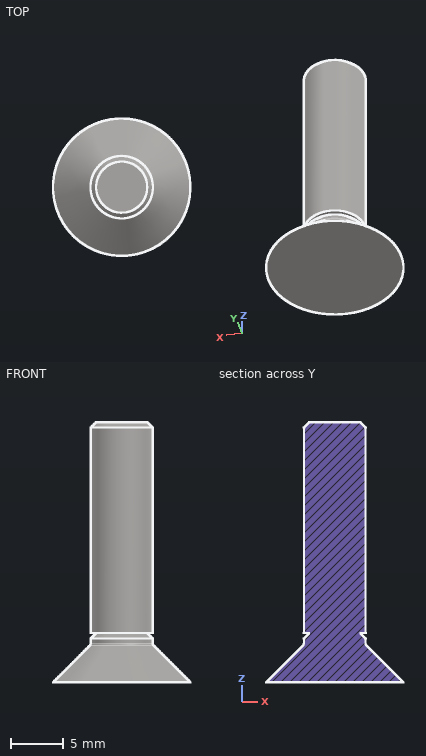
import cadquery as cq
import math

total_length = 25.0
thread_radius = 3.0
end_chamfer = 0.54
head_radius = 6.615
head_half_angle = math.radians(45)
neck_fillet_radius = 0.25
collar_top = 4.19

core_radius = thread_radius - end_chamfer
thread_start = collar_top + end_chamfer

cone_meets_collar = (head_radius - thread_radius) / math.tan(head_half_angle)
fillet_reach = neck_fillet_radius * math.tan(head_half_angle / 2)
fillet_top = cone_meets_collar + fillet_reach
fillet_bottom = cone_meets_collar - fillet_reach * math.cos(head_half_angle)
fillet_bottom_radius = thread_radius + fillet_reach * math.sin(head_half_angle)


def screw_half_profile():
    """Half section in the XZ plane, from the head face up to the thread tip."""
    return (
        cq.Workplane("XZ")
        .lineTo(head_radius, 0)
        .lineTo(fillet_bottom_radius, fillet_bottom)
        .radiusArc((thread_radius, fillet_top), neck_fillet_radius)
        .lineTo(thread_radius, collar_top)
        .lineTo(core_radius, thread_start)
        .lineTo(thread_radius, thread_start)
        .lineTo(thread_radius, total_length - end_chamfer)
        .lineTo(core_radius, total_length)
        .lineTo(0, total_length)
        .close()
    )


axis_start = (0, 0, 0)
axis_end = (0, 1, 0)
result = screw_half_profile().revolve(360, axis_start, axis_end)